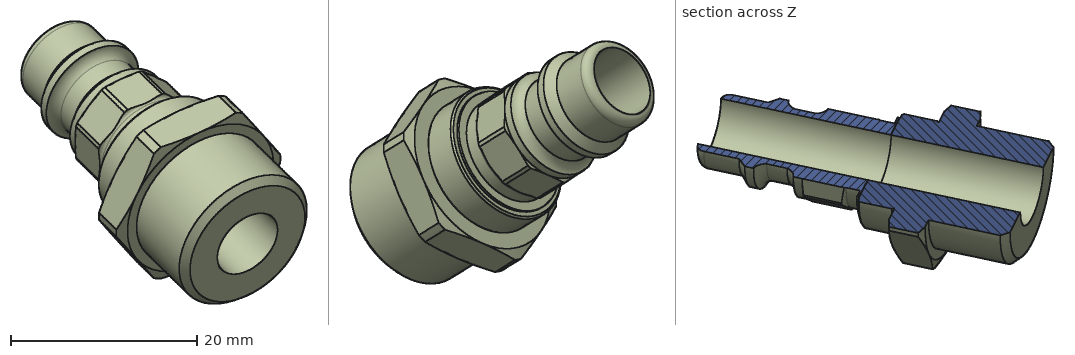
import cadquery as cq
import math

total_length = 36.5
bore_dia = 7.85

nose_r = 10.0 / 2
nose_round = 1.0
collar_r = 12.0 / 2
neck_r = 9.75 / 2
shank_r = 11.9 / 2
disc_r = 14.0 / 2
nose_end_x = 5.0
collar_start_x = 6.0
collar_end_x = 6.97
neck_start_x = 8.05
neck_end_x = 10.4
neck_flare_radius = 1.5
wrench_collar_x = 11.45
octagon_start_x = 12.5
octagon_end_x = 17.4
disc_start_x = 18.98
joint_x = 19.27

octagon_sides = 8
octagon_flats = 12.0
octagon_corner_r = 12.8 / 2
octagon_front_bevel = 0.1
octagon_rear_fillet = octagon_corner_r - shank_r

shoulder_r = 15.5 / 2
shoulder_chamfer = 0.22
hex_start_x = 23.45
hex_end_x = 27.55
hex_sides = 6
hex_flats = 19.0
hex_corner_r = 21.4 / 2
hex_bevel = 0.4
spigot_r = 16.65 / 2
spigot_chamfer = 0.85


def cylinder(start_x, end_x, radius):
    return cq.Workplane("YZ", origin=(start_x, 0, 0)).circle(radius).extrude(end_x - start_x)


def turned(outline):
    """Revolve a closed XY outline (axial position, radius) about X."""
    return outline.close().revolve(360, (0, 0, 0), (1, 0, 0))


def wrench_section(sides, flats, start_x, end_x, first_corner, envelope):
    """Polygonal prism whose corners are trimmed by a turned envelope."""
    corner_dia = flats / math.cos(math.pi / sides)
    prism = (
        cq.Workplane("YZ", origin=(start_x, 0, 0))
        .transformed(rotate=(0, 0, first_corner))
        .polygon(sides, corner_dia)
        .extrude(end_x - start_x)
    )
    return prism.intersect(envelope)


def octagon_envelope():
    """Cylinder with a slight cone in front and a concave fillet behind."""
    return turned(
        cq.Workplane("XY")
        .moveTo(octagon_start_x, 0)
        .lineTo(octagon_start_x, collar_r)
        .lineTo(octagon_start_x + octagon_front_bevel, octagon_corner_r)
        .lineTo(octagon_end_x - octagon_rear_fillet, octagon_corner_r)
        .radiusArc((octagon_end_x, shank_r), -octagon_rear_fillet)
        .lineTo(octagon_end_x, 0)
    )


def hex_envelope():
    """Cylinder with a cone at each end."""
    return turned(
        cq.Workplane("XY")
        .moveTo(hex_start_x, 0)
        .lineTo(hex_start_x, hex_flats / 2)
        .lineTo(hex_start_x + hex_bevel, hex_corner_r)
        .lineTo(hex_end_x - hex_bevel, hex_corner_r)
        .lineTo(hex_end_x, hex_flats / 2)
        .lineTo(hex_end_x, 0)
    )


def drill_bore(body):
    return body.cut(cylinder(0, total_length, bore_dia / 2))


def make_plug():
    turned_body = turned(
        cq.Workplane("XY")
        .moveTo(0, 0)
        .lineTo(0, nose_r - nose_round)
        .radiusArc((nose_round, nose_r), nose_round)
        .lineTo(nose_end_x, nose_r)
        .lineTo(collar_start_x, collar_r)
        .lineTo(collar_end_x, collar_r)
        .radiusArc((neck_start_x, neck_r), -neck_flare_radius)
        .lineTo(neck_end_x, neck_r)
        .radiusArc((wrench_collar_x, collar_r), -neck_flare_radius)
        .lineTo(octagon_start_x, collar_r)
        .lineTo(octagon_start_x, shank_r)
        .lineTo(disc_start_x, shank_r)
        .lineTo(disc_start_x, disc_r)
        .lineTo(joint_x, disc_r)
        .lineTo(joint_x, 0)
    )
    octagon = wrench_section(
        octagon_sides, octagon_flats, octagon_start_x, octagon_end_x,
        180 / octagon_sides, octagon_envelope(),
    )
    return drill_bore(turned_body.union(octagon))


def make_adapter():
    shoulder = cylinder(joint_x, hex_start_x, shoulder_r).edges().chamfer(shoulder_chamfer)
    hexagon = wrench_section(
        hex_sides, hex_flats, hex_start_x, hex_end_x, 0, hex_envelope()
    )
    spigot = cylinder(hex_end_x, total_length, spigot_r).faces(">X").chamfer(spigot_chamfer)
    return drill_bore(shoulder.union(hexagon).union(spigot))


plug = make_plug()
adapter = make_adapter()
result = cq.Compound.makeCompound([plug.val(), adapter.val()])